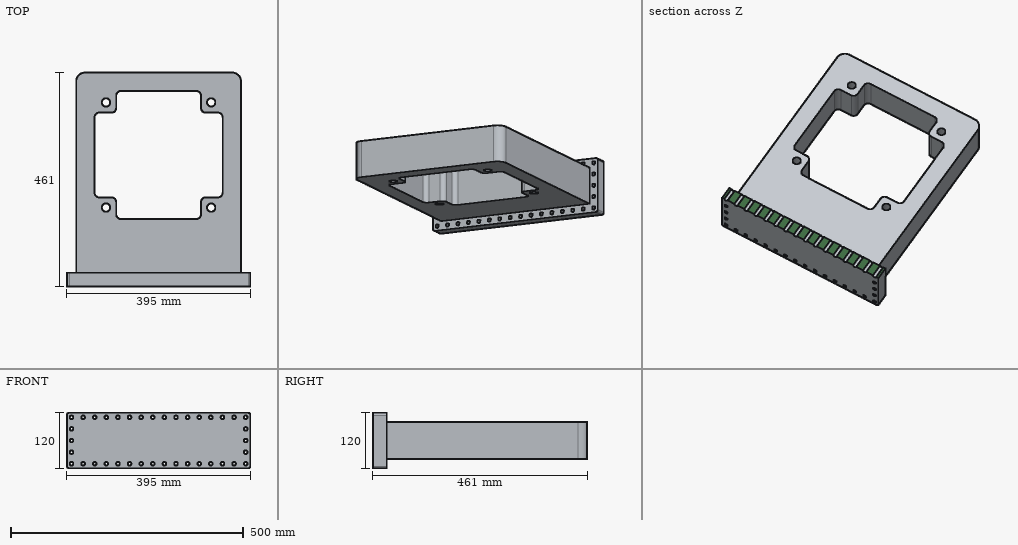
import cadquery as cq

flange_width = 395.0
flange_height = 120.0
flange_thickness = 30.0
flange_corner_radius = 5.0

bolts_across = 16
bolts_up = 5
bolt_margin = 10.0
bolt_pitch = (flange_width - 2 * bolt_margin) / (bolts_across - 1)
bolt_hole_diameter = 7.5

total_length = 461.0
flange_step = 20.0
body_width = flange_width - 2 * flange_step
body_height = flange_height - 2 * flange_step
body_corner_radius = 20.0

rim_width = 40.0
opening_span = body_width - 2 * rim_width
opening_arm_width = 182.0
opening_corner_radius = 10.0
opening_center_y = total_length - body_width / 2

mount_hole_spacing = 226.5
mount_hole_diameter = 17.5


def make_flange():
    """Upright plate with rounded corners, its front face on Y = 0."""
    return (
        cq.Workplane("XY")
        .box(flange_width, flange_thickness, flange_height, centered=(True, False, True))
        .edges("|Y")
        .fillet(flange_corner_radius)
    )


def make_body():
    """Slab behind the flange with its two back corners rounded."""
    return (
        cq.Workplane("XY")
        .box(body_width, total_length, body_height, centered=(True, False, True))
        .edges("|Z and >Y")
        .fillet(body_corner_radius)
    )


def make_opening():
    """Cross-shaped cutter with every upright edge rounded."""
    center = cq.Workplane("XY").center(0, opening_center_y)
    arm_along_x = center.box(opening_span, opening_arm_width, body_height)
    arm_along_y = center.box(opening_arm_width, opening_span, body_height)
    return arm_along_x.union(arm_along_y).edges("|Z").fillet(opening_corner_radius)


def make_mount_holes():
    """Four upright cylinders on a square around the opening center."""
    return (
        cq.Workplane("XY", origin=(0, opening_center_y, -body_height / 2))
        .rarray(mount_hole_spacing, mount_hole_spacing, 2, 2)
        .circle(mount_hole_diameter / 2)
        .extrude(body_height)
    )


def make_bolt_holes():
    """One ring of bolt holes through the flange, just outside the body."""
    half_across = (bolts_across - 1) / 2
    half_up = (bolts_up - 1) / 2
    points = []
    for column in range(bolts_across):
        for row in range(bolts_up):
            on_border = column in (0, bolts_across - 1) or row in (0, bolts_up - 1)
            if on_border:
                points.append(((column - half_across) * bolt_pitch, (row - half_up) * bolt_pitch))
    return (
        cq.Workplane("XZ")
        .pushPoints(points)
        .circle(bolt_hole_diameter / 2)
        .extrude(-flange_thickness)
    )


result = (
    make_flange()
    .union(make_body())
    .cut(make_opening())
    .cut(make_mount_holes())
    .cut(make_bolt_holes())
)